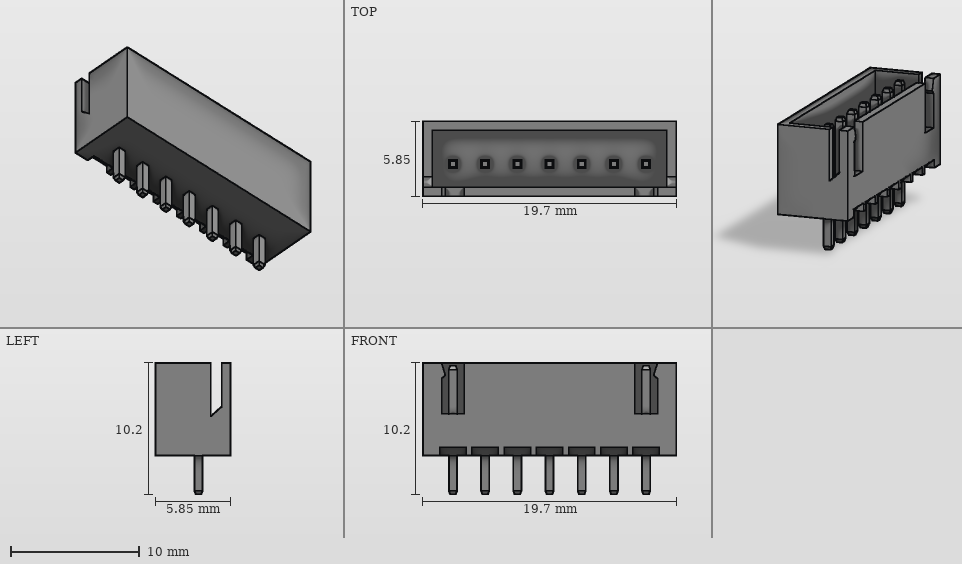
import cadquery as cq

length = 19.67
depth = 5.85
height = 7.2
wall = 0.7
end_wall = 0.73
floor_thickness = 0.79

pin_count = 7
pin_pitch = 2.5
pin_width = 0.65
pin_tip_width = 0.43
pin_taper = 0.3
pin_y = 2.5
pin_below_base = 3.0
pin_below_rim = 0.22

slot_from_end = 1.45
slot_width = 1.75
slot_depth = 3.95
barb_reach = 0.3
barb_peak_depth = 0.95
barb_depth = 1.22

end_slot_width = 0.83
end_slot_front_depth = 3.38
end_slot_back_depth = 4.13

notch_width = 2.05
notch_height = 0.65
notch_back_run = 0.45

pin_positions = [(i - (pin_count - 1) / 2) * pin_pitch for i in range(pin_count)]


def make_housing():
    """Box hollowed from the rim down to the floor."""
    outer = cq.Workplane("XY").box(length, depth, height, centered=(True, False, False))
    cavity = (
        cq.Workplane("XY")
        .box(length - 2 * end_wall, depth - 2 * wall, height, centered=(True, False, False))
        .translate((0, wall, floor_thickness))
    )
    return outer.cut(cavity)


def make_latch_slot():
    """Left-hand slot through the front wall, with the barb left standing on its outer side."""
    outer_x = -length / 2 + slot_from_end
    inner_x = outer_x + slot_width
    bottom_z = height - slot_depth
    outline = [
        (outer_x, height),
        (outer_x + barb_reach, height - barb_peak_depth),
        (outer_x, height - barb_depth),
        (outer_x, bottom_z),
        (inner_x, bottom_z),
        (inner_x, height),
    ]
    return cq.Workplane("XZ").polyline(outline).close().extrude(-wall)


def make_end_slots():
    """Cutter running the full length, which opens both end walls behind the front wall."""
    back_y = wall + end_slot_width
    outline = [
        (wall, height),
        (wall, height - end_slot_front_depth),
        (back_y, height - end_slot_back_depth),
        (back_y, height),
    ]
    return cq.Workplane("YZ").polyline(outline).close().extrude(length / 2, both=True)


def make_notch(x):
    """Cutter under the front wall: a level ceiling, then a back face sloping down to the base."""
    outline = [
        (0, 0),
        (0, notch_height),
        (wall - notch_back_run, notch_height),
        (wall, 0),
    ]
    notch = cq.Workplane("YZ").polyline(outline).close().extrude(notch_width / 2, both=True)
    return notch.translate((x, 0, 0))


def make_pin_end(z, direction):
    """Tapered pin end starting at z and narrowing up (+1) or down (-1)."""
    return (
        cq.Workplane("XY", origin=(0, 0, z))
        .rect(pin_width, pin_width)
        .workplane(offset=direction * pin_taper)
        .rect(pin_tip_width, pin_tip_width)
        .loft(ruled=True)
    )


def make_pin(x):
    """Straight square pin passing through the floor, tapered at both ends."""
    shank_bottom = -pin_below_base + pin_taper
    shank_top = height - pin_below_rim - pin_taper
    shank = (
        cq.Workplane("XY", origin=(0, 0, shank_bottom))
        .rect(pin_width, pin_width)
        .extrude(shank_top - shank_bottom)
    )
    pin = shank.union(make_pin_end(shank_top, 1)).union(make_pin_end(shank_bottom, -1))
    return pin.translate((x, pin_y, 0))


left_slot = make_latch_slot()
result = make_housing().cut(left_slot).cut(left_slot.mirror("YZ")).cut(make_end_slots())
for pin_x in pin_positions:
    result = result.cut(make_notch(pin_x))
for pin_x in pin_positions:
    result = result.union(make_pin(pin_x))